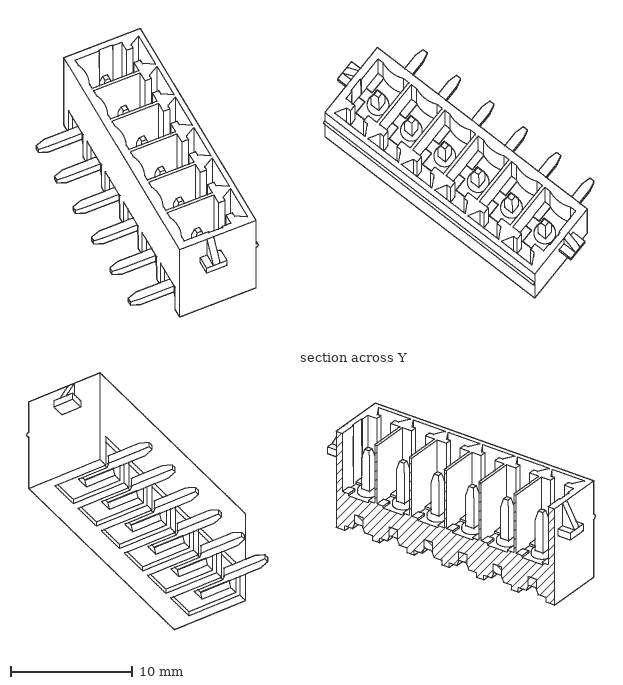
import cadquery as cq


pin_count = 6
pitch = 3.5
pin_positions = [(i - (pin_count - 1) / 2) * pitch for i in range(pin_count)]

overall_length = 24.5
housing_length = 22.05
housing_depth = 7.0
housing_height = 9.2

ridge_height = 0.2
ridge_half_width = 0.25
ridge_z = 5.75

latch_y = 2.82
latch_bar_width = 1.85
latch_bar_bottom = 6.4
latch_bar_top = 7.05
latch_web_width = 0.61

cavity_width = 3.23
cavity_front = 0.74
cavity_rear = 5.0
cavity_floor = 3.68
keyway_neck_width = 1.4
dovetail_front = 5.59
dovetail_rear = 6.55
dovetail_front_width = 2.15
dovetail_rear_width = cavity_width

swell_half_width = 1.08
swell_height = 0.22

recess_depth = 0.2
recess_width = 1.98
recess_rear = 4.48
cross_band_width = 0.98

collar_diameter = 1.8
collar_height = 0.4
collar_fillet = 0.2

relief_front = 2.96
relief_rear = 4.21
relief_depth = 0.1

pin_size = 0.8
pin_y = 2.8
pin_z = 1.42
pin_reach = 3.5
pin_top = 7.6
tip_length = 0.8
tip_size = 0.45

pocket_width = 2.77
pocket_height = 3.05
pocket_depth = 0.4
undercut_height = 0.45
undercut_rear = 5.0
slot_mouth_width = 1.2
slot_top_width = 0.69

pin_rear = pin_y + pin_size / 2
pin_underside = pin_z - pin_size / 2
recess_floor = cavity_floor - recess_depth


def box(x_range, y_range, z_range):
    """Box between the given limits on each axis."""
    (x0, x1), (y0, y1), (z0, z1) = x_range, y_range, z_range
    return cq.Workplane("XY").box(x1 - x0, y1 - y0, z1 - z0, centered=False).translate((x0, y0, z0))


def centred_box(x, width, y_range, z_range):
    """Box of the given width, centred on x."""
    return box((x - width / 2, x + width / 2), y_range, z_range)


def rear_ridge():
    return (
        cq.Workplane("YZ", origin=(-housing_length / 2, 0, 0))
        .moveTo(housing_depth, ridge_z - ridge_half_width)
        .threePointArc(
            (housing_depth + ridge_height, ridge_z),
            (housing_depth, ridge_z + ridge_half_width),
        )
        .close()
        .extrude(housing_length)
    )


def latch(side):
    """Cross bar with a sloping web above it; side is -1 or 1 along X."""
    inner = side * housing_length / 2
    outer = side * overall_length / 2
    bar = centred_box(
        (inner + outer) / 2,
        abs(outer - inner),
        (latch_y - latch_bar_width / 2, latch_y + latch_bar_width / 2),
        (latch_bar_bottom, latch_bar_top),
    )
    web = (
        cq.Workplane("XZ", origin=(0, latch_y, 0))
        .polyline([(inner, latch_bar_top), (outer, latch_bar_top), (inner, housing_height)])
        .close()
        .extrude(latch_web_width / 2, both=True)
    )
    return bar.union(web)


def cavity(x):
    """Plug cavity with a dovetail keyway at the rear and a swollen front wall."""
    main = (
        cq.Workplane("XY", origin=(x, 0, cavity_floor))
        .moveTo(-cavity_width / 2, cavity_front)
        .lineTo(-swell_half_width, cavity_front)
        .threePointArc((0, cavity_front + swell_height), (swell_half_width, cavity_front))
        .lineTo(cavity_width / 2, cavity_front)
        .lineTo(cavity_width / 2, cavity_rear)
        .lineTo(keyway_neck_width / 2, cavity_rear)
        .lineTo(keyway_neck_width / 2, dovetail_front)
        .lineTo(dovetail_front_width / 2, dovetail_front)
        .lineTo(dovetail_rear_width / 2, dovetail_rear)
        .lineTo(-dovetail_rear_width / 2, dovetail_rear)
        .lineTo(-dovetail_front_width / 2, dovetail_front)
        .lineTo(-keyway_neck_width / 2, dovetail_front)
        .lineTo(-keyway_neck_width / 2, cavity_rear)
        .lineTo(-cavity_width / 2, cavity_rear)
        .close()
        .extrude(housing_height - cavity_floor)
    )
    return main.union(floor_recess(x))


def floor_recess(x):
    """Cross-shaped recess whose front edge follows the swollen front wall."""
    levels = (recess_floor, cavity_floor)
    swell_radius = (swell_half_width**2 + swell_height**2) / (2 * swell_height)
    swell = (
        cq.Workplane("XY", origin=(x, cavity_front + swell_height - swell_radius, recess_floor))
        .circle(swell_radius)
        .extrude(recess_depth)
    )
    pad = centred_box(x, recess_width, (cavity_front, recess_rear), levels).cut(swell)
    band_limits = (pin_y - cross_band_width / 2, pin_y + cross_band_width / 2)
    return pad.union(centred_box(x, cavity_width, band_limits, levels))


def collar(x):
    return (
        cq.Workplane("XY", origin=(x, pin_y, recess_floor))
        .circle(collar_diameter / 2)
        .extrude(collar_height)
        .faces(">Z")
        .fillet(collar_fillet)
    )


def end_relief(side):
    """Relief that is deepest at the top and runs out at the cavity floor."""
    wall = side * (pin_positions[-1] + cavity_width / 2)
    return (
        cq.Workplane("XZ", origin=(0, relief_rear, 0))
        .polyline([
            (wall, cavity_floor),
            (wall + side * relief_depth, housing_height),
            (wall, housing_height),
        ])
        .close()
        .extrude(relief_rear - relief_front)
    )


def front_pocket(x):
    """Pocket around the pin exit, the undercut behind it and the flared pin slot."""
    pocket = centred_box(x, pocket_width, (0, pocket_depth), (0, pocket_height))
    undercut = centred_box(x, pocket_width, (pocket_depth, undercut_rear), (0, undercut_height))
    slot = (
        cq.Workplane("XZ", origin=(x, pin_rear, 0))
        .polyline([
            (-slot_mouth_width / 2, undercut_height),
            (slot_mouth_width / 2, undercut_height),
            (slot_top_width / 2, pin_underside),
            (-slot_top_width / 2, pin_underside),
        ])
        .close()
        .extrude(pin_rear - pocket_depth)
    )
    return pocket.union(undercut).union(slot)


def tapered_tip(base_plane):
    """Square tip that narrows along the normal of the given plane."""
    return (
        base_plane.rect(pin_size, pin_size)
        .workplane(offset=tip_length)
        .rect(tip_size, tip_size)
        .loft()
    )


def make_pin(x):
    """L-shaped square pin with a tapered tip on each leg."""
    front_shoulder = -pin_reach + tip_length
    top_shoulder = pin_top - tip_length
    horizontal_leg = centred_box(
        x, pin_size, (front_shoulder, pin_rear), (pin_underside, pin_underside + pin_size)
    )
    vertical_leg = centred_box(x, pin_size, (pin_rear - pin_size, pin_rear), (pin_underside, top_shoulder))
    front_tip = tapered_tip(cq.Workplane("XZ", origin=(x, front_shoulder, pin_z)))
    top_tip = tapered_tip(cq.Workplane("XY", origin=(x, pin_y, top_shoulder)))
    return horizontal_leg.union(vertical_leg).union(front_tip).union(top_tip)


def make_housing(pins):
    body = centred_box(0, housing_length, (0, housing_depth), (0, housing_height))
    body = body.union(rear_ridge())
    for x in pin_positions:
        body = body.cut(cavity(x)).union(collar(x)).cut(front_pocket(x))
    for side in (-1, 1):
        body = body.union(latch(side)).cut(end_relief(side))
    for pin in pins:
        body = body.cut(pin)
    return body


pins = [make_pin(x) for x in pin_positions]
housing = make_housing(pins).solids()

result = cq.Compound.makeCompound([housing.val(), *[pin.solids().val() for pin in pins]])